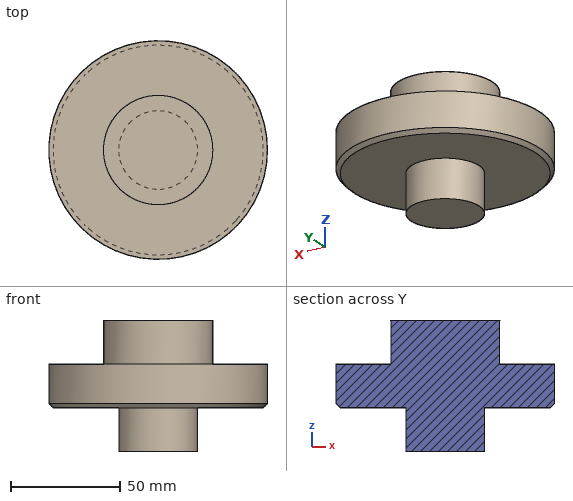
import cadquery as cq

flange_diameter = 100
upper_boss_diameter = 50
lower_boss_diameter = 36
section_height = 20
flange_chamfer = 2

flange = (
    cq.Workplane("XY")
    .circle(flange_diameter / 2)
    .extrude(section_height)
    .faces("<Z")
    .edges()
    .chamfer(flange_chamfer)
)

upper_boss = (
    cq.Workplane("XY", origin=(0, 0, section_height))
    .circle(upper_boss_diameter / 2)
    .extrude(section_height)
)

lower_boss = cq.Workplane("XY").circle(lower_boss_diameter / 2).extrude(-section_height)

result = flange.union(upper_boss).union(lower_boss)